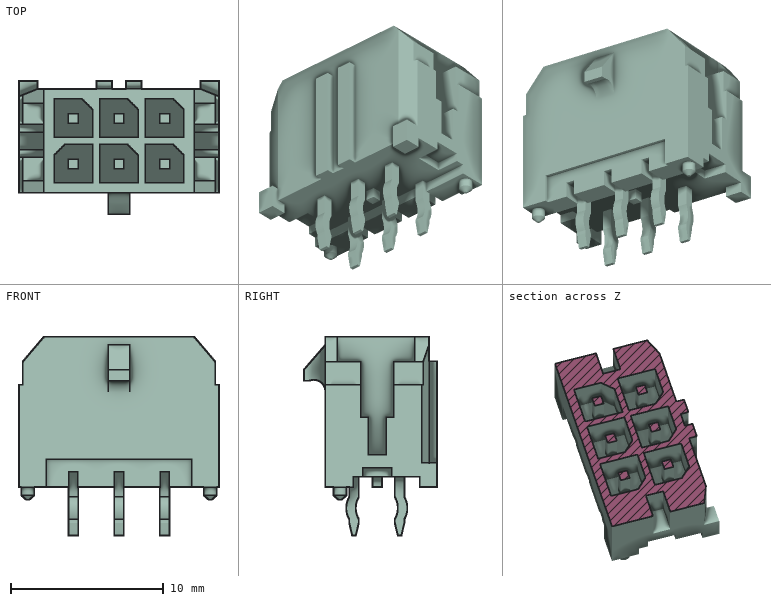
import cadquery as cq
import math


housing_length = 13.15
housing_depth = 6.84
housing_top = 9.9
half_length = housing_length / 2
half_depth = housing_depth / 2

shoulder_z = 8.25
step_z = 6.75
step_inset = 0.24
top_length = 9.86
end_wall_x = top_length / 2
front_cheek = 0.79
back_cheek = 0.96
slot_width = 2.18
slot_bottom = 4.6
inner_slot_width = 1.16
inner_slot_bottom = 2.13

underside_z = 0.68
front_skirt = 1.85
panel_length = 9.55
panel_height = 1.84
panel_depth = 0.29
notch_width = 0.6
notch_top = 1.01
channel_width = 1.91
channel_top = 1.26
post_size = 0.65

back_overhang = 0.53
foot_length = 1.22
foot_depth = 1.16
foot_height = 1.59
corner_cut_depth = 0.5
rib_width = 1.04
rib_x = 0.97
rib_top = 8.28

column_count = 3
row_count = 2
pitch = 3.0
cavity_size = 2.54
cavity_chamfer = 0.71
cavity_floor = inner_slot_bottom
contact_size = 0.65
contact_shift = -0.03
contact_top = 6.45
contact_bottom = -3.18
bow_top = -0.65
bow_bottom = -2.1
bow_height = 0.2
taper_top = -2.34
tip_width = 0.25

latch_width = 1.42
latch_reach = 1.41
latch_top = 9.35
latch_nose_top = 7.72
latch_nose_bottom = 7.0
latch_root_z = 6.3
latch_radius = 0.75

peg_diameter = 0.87
peg_x = 6.0
peg_y = -2.45
peg_length = 0.83
peg_cone = 0.29
peg_tip_diameter = 0.22


def block(x0, x1, y0, y1, z0, z1):
    """Box between two opposite corners."""
    return cq.Workplane("XY").box(x1 - x0, y1 - y0, z1 - z0, centered=False).translate((x0, y0, z0))


def both_ends(shape):
    """The shape together with its mirror image at the other X end."""
    return shape.union(shape.mirror("YZ"))


def housing_shell():
    step_x = half_length - step_inset
    right_side = [
        (half_length, 0),
        (half_length, step_z),
        (step_x, step_z),
        (step_x, shoulder_z),
        (end_wall_x, housing_top),
    ]
    left_side = [(-x, z) for x, z in reversed(right_side)]
    outline = cq.Workplane("XZ").polyline(right_side + left_side).close()
    return outline.extrude(half_depth, both=True)


def end_recess():
    """Material taken from one end: space over the end blocks and the stepped slot."""
    x0, x1 = end_wall_x, half_length
    above_blocks = block(x0, x1, front_cheek - half_depth, half_depth - back_cheek, shoulder_z, housing_top)
    wide_slot = block(x0, x1, -slot_width / 2, slot_width / 2, slot_bottom, housing_top)
    narrow_slot = block(x0, x1, -inner_slot_width / 2, inner_slot_width / 2, inner_slot_bottom, housing_top)
    channel = block(x0, x1, -channel_width / 2, channel_width / 2, 0, channel_top)
    return above_blocks.union(wide_slot).union(narrow_slot).union(channel)


def back_corner_cut():
    """Wedge off one back corner, above the foot."""
    corner = [
        (half_length - foot_length, half_depth),
        (half_length, half_depth),
        (half_length, half_depth - corner_cut_depth),
    ]
    wedge = cq.Workplane("XY").polyline(corner).close().extrude(housing_top - foot_height)
    return wedge.translate((0, 0, foot_height))


def back_foot():
    foot_back = half_depth + back_overhang
    return block(half_length - foot_length, half_length, foot_back - foot_depth, foot_back, 0, foot_height)


def back_rib():
    return block(
        rib_x - rib_width / 2, rib_x + rib_width / 2,
        half_depth, half_depth + back_overhang,
        underside_z, rib_top,
    )


def cavity(x, y, key_side):
    """Square cavity with one +Y corner chamfered, on the side given by key_side."""
    half = cavity_size / 2
    outline = [
        (-half * key_side, -half),
        (half * key_side, -half),
        (half * key_side, half - cavity_chamfer),
        ((half - cavity_chamfer) * key_side, half),
        (-half * key_side, half),
    ]
    pocket = cq.Workplane("XY").polyline(outline).close().extrude(housing_top - cavity_floor)
    return pocket.translate((x, y, cavity_floor))


def contact(x, y, bow_side):
    """Square contact whose tail bows toward bow_side and tapers to a blunt tip."""
    half = contact_size / 2
    tip = tip_width / 2
    bow = bow_height * bow_side
    bow_middle = (bow_top + bow_bottom) / 2
    profile = (
        cq.Workplane("YZ")
        .moveTo(-half, contact_top)
        .lineTo(-half, bow_top)
        .threePointArc((-half + bow, bow_middle), (-half, bow_bottom))
        .lineTo(-half, taper_top)
        .lineTo(-tip, contact_bottom)
        .lineTo(tip, contact_bottom)
        .lineTo(half, taper_top)
        .lineTo(half, bow_bottom)
        .threePointArc((half + bow, bow_middle), (half, bow_top))
        .lineTo(half, contact_top)
        .close()
    )
    return profile.extrude(half, both=True).translate((x, y, 0))


def latch():
    """Ramped catch on the front face with a rounded undercut."""
    face = -half_depth
    arc_centre_y = face - latch_radius
    arc_drop = latch_nose_bottom - latch_root_z
    arc_end_y = arc_centre_y - math.sqrt(latch_radius ** 2 - arc_drop ** 2)
    arc_crown = (arc_centre_y, latch_root_z + latch_radius)
    profile = (
        cq.Workplane("YZ")
        .moveTo(face, latch_top)
        .lineTo(face - latch_reach, latch_nose_top)
        .lineTo(face - latch_reach, latch_nose_bottom)
        .lineTo(arc_end_y, latch_nose_bottom)
        .threePointArc(arc_crown, (face, latch_root_z))
        .close()
    )
    return profile.extrude(latch_width / 2, both=True)


def locating_peg():
    radius = peg_diameter / 2
    profile = [
        (0, 0),
        (radius, 0),
        (radius, peg_cone - peg_length),
        (peg_tip_diameter / 2, -peg_length),
        (0, -peg_length),
    ]
    peg = cq.Workplane("XZ").polyline(profile).close().revolve(360, (0, 0, 0), (0, 1, 0))
    return peg.translate((peg_x, peg_y, 0))


columns = [(i - (column_count - 1) / 2) * pitch for i in range(column_count)]
rows = [(j - (row_count - 1) / 2) * pitch for j in range(row_count)]
skirt_back = front_skirt - half_depth

result = housing_shell()
result = result.cut(both_ends(end_recess()))
result = result.cut(both_ends(back_corner_cut()))
result = result.cut(block(-half_length, half_length, skirt_back, half_depth, 0, underside_z))
result = result.union(both_ends(back_foot()))
result = result.union(both_ends(back_rib()))

result = result.cut(
    block(-panel_length / 2, panel_length / 2, -half_depth, panel_depth - half_depth, 0, panel_height)
)
for x in columns:
    notch = block(x - notch_width / 2, x + notch_width / 2, -half_depth, skirt_back, 0, notch_top)
    result = result.cut(notch)

half_post = post_size / 2
result = result.union(block(-half_post, half_post, -half_post, half_post, 0, underside_z))

for y in rows:
    for x in columns:
        first_circuit = x == columns[0] and y == rows[0]
        result = result.cut(cavity(x, y, -1 if first_circuit else 1))
        result = result.union(contact(x, y + contact_shift, math.copysign(1, y)))

result = result.union(latch())
result = result.union(both_ends(locating_peg()))